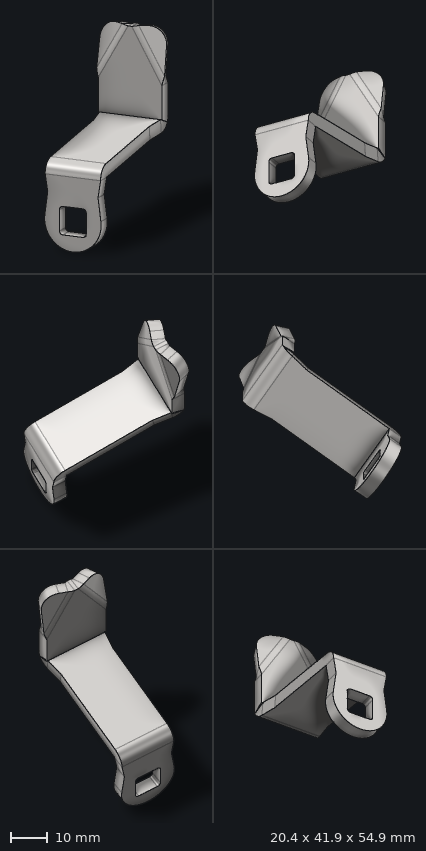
import cadquery as cq
import math

thickness = 4.0
arm_angle = math.radians(7.5)
lower_bend_z = 21.05
plate_front_y = 36.0
arm_run = plate_front_y - thickness
upper_bend_z = lower_bend_z + arm_run * math.tan(arm_angle) + thickness / math.cos(arm_angle)

foot_radius = 8.5
neck_half_width = 7.55
neck_z = 16.2
hole_size = 7.95
hole_corner_radius = 1.0

arm_half_width = 8.35
arm_root_half_width = 9.15
arm_taper_length = 5.45

plate_half_width = 9.55
plate_top_half_width = 0.55
plate_top_z = 54.5
plate_bend_angle = math.radians(23)

fold_slope = math.radians(30)
wing_angle = math.radians(22)
fold_inner_radius = 1.0
fold_outer_radius = fold_inner_radius + thickness
fold_length = (plate_half_width - plate_top_half_width) / math.sin(fold_slope)
plate_shoulder_z = plate_top_z - fold_length * math.cos(fold_slope)
wing_root_start = 0.65
wing_root_end = 16.1
wing_tip_reach = 7.0
wing_tip_position = 4.2
wing_tip_radius = 5.0


def side_point(corner, radius, angle):
    """Point in the YZ plane at a polar position around a bend corner."""
    y, z = corner
    return (y + radius * math.cos(angle), z + radius * math.sin(angle))


def bend_sector(corner, start, end, half_width):
    """Round bend around a sharp inner corner, as a pie slice along X."""
    return (
        cq.Workplane("YZ")
        .moveTo(*corner)
        .lineTo(*side_point(corner, thickness, start))
        .threePointArc(
            side_point(corner, thickness, (start + end) / 2),
            side_point(corner, thickness, end),
        )
        .close()
        .extrude(half_width, both=True)
    )


lower_corner = (thickness, lower_bend_z)
upper_corner = (plate_front_y, upper_bend_z)
arm_up = math.pi / 2 + arm_angle
arm_down = arm_up - math.pi


def lower_leg():
    neck_distance = math.hypot(neck_half_width, neck_z - foot_radius)
    tangent_angle = math.atan2(neck_z - foot_radius, neck_half_width) - math.acos(
        foot_radius / neck_distance
    )
    tangent_x = foot_radius * math.cos(tangent_angle)
    tangent_z = foot_radius * (1 + math.sin(tangent_angle))
    leg = (
        cq.Workplane("XZ")
        .moveTo(-arm_half_width, lower_bend_z)
        .lineTo(-neck_half_width, neck_z)
        .lineTo(-tangent_x, tangent_z)
        .threePointArc((0, 0), (tangent_x, tangent_z))
        .lineTo(neck_half_width, neck_z)
        .lineTo(arm_half_width, lower_bend_z)
        .close()
        .extrude(-thickness)
    )
    hole = (
        cq.Workplane("XZ")
        .center(0, foot_radius)
        .rect(hole_size, hole_size)
        .extrude(-thickness)
        .edges("|Y")
        .fillet(hole_corner_radius)
    )
    return leg.cut(hole)


def arm():
    strip = (
        cq.Workplane("YZ")
        .polyline([
            lower_corner,
            side_point(upper_corner, thickness, arm_down),
            upper_corner,
            side_point(lower_corner, thickness, arm_up),
        ])
        .close()
        .extrude(plate_half_width, both=True)
    )
    root_bend = bend_sector(upper_corner, arm_down, -plate_bend_angle, plate_half_width)

    arm_length = arm_run / math.cos(arm_angle) + thickness
    bend_reach = thickness * math.sin(-plate_bend_angle - arm_down)
    right_side = [
        (plate_half_width, bend_reach),
        (arm_root_half_width, 0),
        (arm_half_width, -arm_taper_length),
        (arm_half_width, -arm_length),
    ]
    left_side = [(-x, y) for x, y in reversed(right_side)]
    arm_plane = cq.Plane(
        origin=(0, *upper_corner),
        xDir=(1, 0, 0),
        normal=(0, -math.sin(arm_angle), math.cos(arm_angle)),
    )
    outline = (
        cq.Workplane(arm_plane)
        .polyline(right_side + left_side)
        .close()
        .extrude(2 * thickness, both=True)
    )
    return strip.union(root_bend).intersect(outline)


def upper_plate():
    right_side = [
        (plate_half_width, upper_bend_z),
        (plate_half_width, plate_shoulder_z),
        (plate_top_half_width, plate_top_z),
    ]
    left_side = [(-x, z) for x, z in reversed(right_side)]
    return (
        cq.Workplane("XZ", origin=(0, plate_front_y, 0))
        .polyline(right_side + left_side)
        .close()
        .extrude(-thickness)
    )


along_fold = cq.Vector(math.sin(fold_slope), 0, -math.cos(fold_slope))
across_fold = cq.Vector(math.cos(fold_slope), 0, math.sin(fold_slope))
backward = cq.Vector(0, 1, 0)
fold_top = cq.Vector(plate_top_half_width, plate_front_y, plate_top_z)
fold_axis = fold_top + backward * fold_outer_radius


def fold_point(radius, angle, position):
    """Point around the fold axis; angle zero lies toward the plate."""
    radial = across_fold * math.sin(angle) - backward * math.cos(angle)
    return fold_axis + radial * radius + along_fold * position


def wing_fold():
    ring_plane = cq.Plane(origin=fold_axis, xDir=across_fold, normal=along_fold)
    ring = (
        cq.Workplane(ring_plane)
        .circle(fold_outer_radius)
        .circle(fold_inner_radius)
        .extrude(fold_length)
    )
    near = fold_inner_radius / 2
    far = fold_outer_radius * 1.5
    sections = []
    for angle, start, end in (
        (0, 0, fold_length),
        (wing_angle, wing_root_start, wing_root_end),
    ):
        corners = [
            fold_point(near, angle, start),
            fold_point(far, angle, start),
            fold_point(far, angle, end),
            fold_point(near, angle, end),
        ]
        sections.append(cq.Wire.makePolygon(corners, close=True))
    wedge = cq.Solid.makeLoft(sections, True)
    return ring.intersect(cq.Workplane(wedge))


def wing_blade():
    outward = across_fold * math.cos(wing_angle) + backward * math.sin(wing_angle)
    blade_plane = cq.Plane(
        origin=fold_point(fold_outer_radius, wing_angle, 0),
        xDir=outward,
        normal=outward.cross(along_fold * -1),
    )
    return (
        cq.Workplane(blade_plane)
        .polyline([
            (0, -wing_root_start),
            (0, -wing_root_end),
            (wing_tip_reach, -wing_tip_position),
        ])
        .close()
        .extrude(-thickness)
        .edges(cq.selectors.ParallelDirSelector(blade_plane.zDir))
        .edges(">(1, 0, 1)")
        .fillet(wing_tip_radius)
    )


lower_bend = bend_sector(lower_corner, arm_up, math.pi, arm_half_width)
plate_bend = bend_sector(upper_corner, -plate_bend_angle, 0, plate_half_width)
wing = wing_fold().union(wing_blade())

result = (
    lower_leg()
    .union(lower_bend)
    .union(arm())
    .union(plate_bend)
    .union(upper_plate())
    .union(wing)
    .union(wing.mirror("YZ"))
)